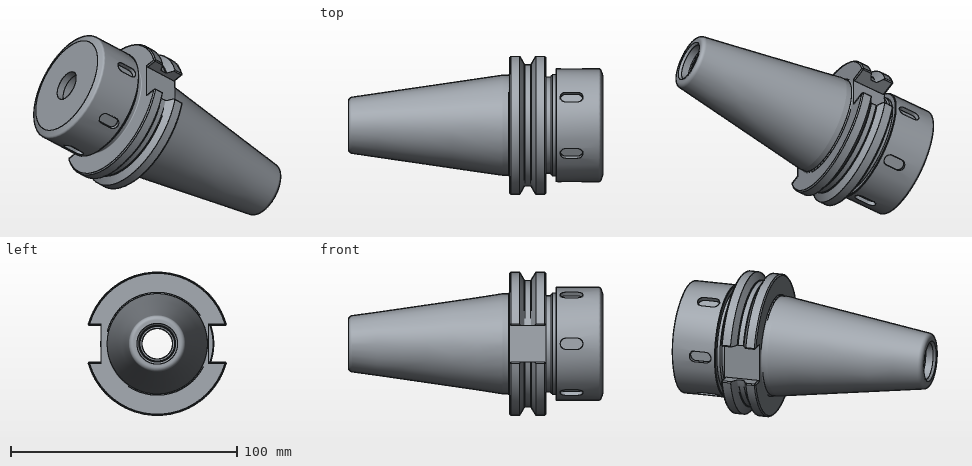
import cadquery as cq
import math

total_length = 112.7
gauge_x = 68.3
flange_x = 71.3
flange_width = 16.0
collar_x = 90.4
nut_x = 91.7

gauge_diameter = 44.4
taper_slope = 7 / 48
taper_nose_radius = 2.0
shank_root_radius = 0.6

flange_diameter = 63.5
flange_chamfer = 0.6
groove_floor_diameter = 56.1
groove_mouth_width = 7.1
groove_wall_angle = 30.0
groove_corner_radius = 0.5
groove_clearance = 1.1
notch_width = 16.2
notch_floor_back = 24.9
notch_floor_front = 22.7

neck_diameter = 42.7
neck_corner_diameter = 43.5
collar_diameter = 45.0

bore_diameter = 13.4
mouth_diameter = 18.0
lead_in_diameter = 16.8
pilot_bore_diameter = 16.2
pilot_floor_diameter = 15.3
lead_in_end_x = 1.1
pilot_bore_end_x = 4.5

nut_diameter = 50.0
nut_back_chamfer = 0.3
nut_front_wall = 3.4
nose_diameter = 43.5
nose_angle = 20.0
nose_corner_radius = 1.0
slot_count = 6
slot_length = 10.0
slot_width = 5.0
slot_depth = 2.0
slot_center_x = 98.7

spigot_end_x = total_length - nut_front_wall


def revolve_about_x(points):
    """Solid of revolution about the X axis from an outline of (x, radius) points."""
    return cq.Workplane("XY").polyline(points).close().revolve(360, (0, 0, 0), (1, 0, 0))


def cylinder_along_x(diameter, x_start, x_end):
    return cq.Workplane("YZ", origin=(x_start, 0, 0)).circle(diameter / 2).extrude(x_end - x_start)


def make_shank():
    """Taper and short straight length, with a concave fillet against the flange."""
    gauge_radius = gauge_diameter / 2
    end_radius = gauge_radius - gauge_x * taper_slope
    outline = (
        cq.Workplane("XY")
        .moveTo(0, 0)
        .lineTo(0, end_radius)
        .lineTo(gauge_x, gauge_radius)
        .lineTo(flange_x - shank_root_radius, gauge_radius)
        .radiusArc((flange_x, gauge_radius + shank_root_radius), -shank_root_radius)
        .lineTo(flange_x, 0)
        .close()
    )
    shank = outline.revolve(360, (0, 0, 0), (1, 0, 0))
    return shank.faces("<X").edges().fillet(taper_nose_radius)


def make_flange():
    flange = cylinder_along_x(flange_diameter, flange_x, flange_x + flange_width)

    notch_depth = flange_diameter / 2
    for side, floor in ((1, notch_floor_back), (-1, notch_floor_front)):
        notch = cq.Workplane("XY").box(flange_width, notch_depth, notch_width)
        notch = notch.translate((flange_x + flange_width / 2, side * (floor + notch_depth / 2), 0))
        flange = flange.cut(notch)

    rim_edges = flange.faces("%CYLINDER").edges()
    wall_edges = flange.faces("<X or >X").edges("|Y")
    flange = rim_edges.add(wall_edges).chamfer(flange_chamfer)
    return flange.cut(make_gripper_groove())


def make_gripper_groove():
    """Ring that leaves a V groove with a flat, rounded-corner floor round the flange."""
    center_x = flange_x + flange_width / 2
    floor_radius = groove_floor_diameter / 2
    outer_radius = flange_diameter / 2
    wall_slope = math.tan(math.radians(groove_wall_angle))
    floor_half = groove_mouth_width / 2 - (outer_radius - floor_radius) * wall_slope
    clear_radius = outer_radius + groove_clearance
    clear_half = floor_half + (clear_radius - floor_radius) * wall_slope
    groove = revolve_about_x([
        (center_x - floor_half, floor_radius),
        (center_x + floor_half, floor_radius),
        (center_x + clear_half, clear_radius),
        (center_x - clear_half, clear_radius),
    ])
    floor_edges = groove.edges(cq.selectors.RadiusNthSelector(0))
    return floor_edges.fillet(groove_corner_radius)


def make_front_end():
    """Neck with filleted ends, 45-degree cone, collar and the spigot that fills the nut."""
    flange_end_x = flange_x + flange_width
    neck_radius = neck_diameter / 2
    corner_radius = neck_corner_diameter / 2
    collar_radius = collar_diameter / 2
    neck_fillet = corner_radius - neck_radius
    cone_x = collar_x - (collar_radius - corner_radius)
    outline = (
        cq.Workplane("XY")
        .moveTo(flange_end_x, 0)
        .lineTo(flange_end_x, corner_radius)
        .radiusArc((flange_end_x + neck_fillet, neck_radius), -neck_fillet)
        .lineTo(cone_x - neck_fillet, neck_radius)
        .radiusArc((cone_x, corner_radius), -neck_fillet)
        .lineTo(collar_x, collar_radius)
        .lineTo(nut_x, collar_radius)
        .lineTo(nut_x, neck_radius)
        .lineTo(spigot_end_x, neck_radius)
        .lineTo(spigot_end_x, 0)
        .close()
    )
    return outline.revolve(360, (0, 0, 0), (1, 0, 0))


def make_bore():
    """Through bore, with a pilot counterbore and a chamfered mouth at the small end."""
    mouth_radius = mouth_diameter / 2
    lead_in_radius = lead_in_diameter / 2
    pilot_radius = pilot_bore_diameter / 2
    floor_radius = pilot_floor_diameter / 2
    bore_radius = bore_diameter / 2
    floor_x = pilot_bore_end_x + pilot_radius - floor_radius
    return revolve_about_x([
        (0, 0),
        (0, mouth_radius),
        (mouth_radius - lead_in_radius, lead_in_radius),
        (lead_in_end_x, pilot_radius),
        (pilot_bore_end_x, pilot_radius),
        (floor_x, floor_radius),
        (floor_x, bore_radius),
        (total_length, bore_radius),
        (total_length, 0),
    ])


def make_holder():
    holder = make_shank().union(make_flange()).union(make_front_end())
    return holder.cut(make_bore())


def make_wrench_slot():
    """Rounded pocket cutter on the +Z side of the nut."""
    floor_height = nut_diameter / 2 - slot_depth
    slot = cq.Workplane("XY", origin=(slot_center_x, 0, floor_height))
    return slot.slot2D(slot_length, slot_width).extrude(2 * slot_depth)


def make_nut():
    nut_radius = nut_diameter / 2
    nose_radius = nose_diameter / 2
    nose_length = (nut_radius - nose_radius) * math.tan(math.radians(nose_angle))
    nose_x = total_length - nose_length
    nut = revolve_about_x([
        (nut_x, 0),
        (nut_x, nut_radius - nut_back_chamfer),
        (nut_x + nut_back_chamfer, nut_radius),
        (nose_x, nut_radius),
        (total_length, nose_radius),
        (total_length, 0),
    ])
    nose_corner = cq.selectors.NearestToPointSelector((nose_x, 0, 0))
    nut = nut.edges("%CIRCLE").edges(nose_corner).fillet(nose_corner_radius)

    nut = nut.cut(cylinder_along_x(neck_diameter, nut_x, spigot_end_x))
    nut = nut.cut(cylinder_along_x(bore_diameter, nut_x, total_length))

    slot = make_wrench_slot()
    for index in range(slot_count):
        angle = 90 + index * 360 / slot_count
        nut = nut.cut(slot.rotate((0, 0, 0), (1, 0, 0), angle))
    return nut


holder = make_holder()
nut = make_nut()
result = cq.Compound.makeCompound([holder.val(), nut.val()])